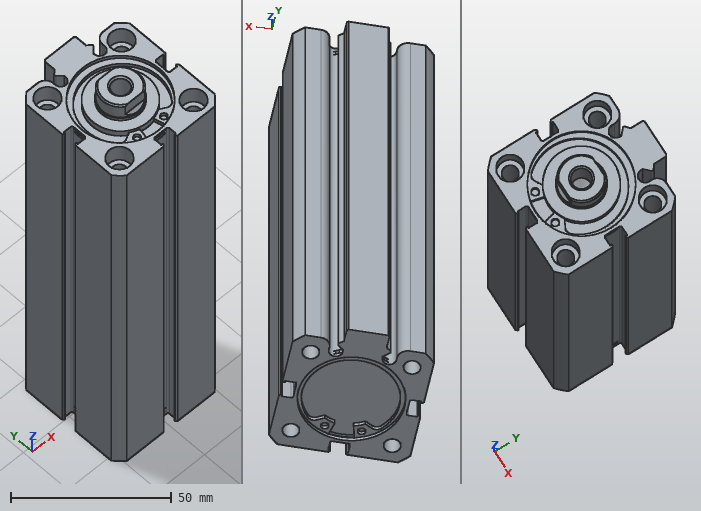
import cadquery as cq
import math

WIDTH = 45.0
HALF = WIDTH / 2
TOTAL_HEIGHT = 158.0
ROD_PROJECTION = 7.0
HOUSING_HEIGHT = TOTAL_HEIGHT - ROD_PROJECTION
CORNER_RADIUS = 29.5
FACE_END = math.sqrt(CORNER_RADIUS**2 - HALF**2)
BORE_RADIUS = 16.9

RAIL_HEIGHT = 4.9
RAIL_TOP = HALF + RAIL_HEIGHT
RAIL_HALF_WIDTH = 6.8
RAIL_EDGE_CHAMFER = 0.5
BARB_HALF_WIDTH = 8.4
BARB_TIP_Y = HALF - 1.6
BARB_TIP_RADIUS = 0.6
NECK_HALF_WIDTH = 6.3
NECK_TOP = HALF - 3.8
GROOVE_BEND_RADIUS = 2.2
GROOVE_BEND_Y = HALF - 4.5
GROOVE_BEND_X = NECK_HALF_WIDTH + GROOVE_BEND_RADIUS
EAR_RADIUS = 3.5
EAR_SIDE = GROOVE_BEND_X + GROOVE_BEND_RADIUS

SLOT_HALF_WIDTH = 3.2
MOUTH_HALF_WIDTH = 2.5
MOUTH_CHAMFER = 0.5
LIP_THICKNESS = 1.0
SLOT_FLOOR = 18.0
SLOT_CORNER_RADIUS = 0.6
SLOT_ANGLES = (-90, 0, 90)

HOLE_PITCH = 32.2
HOLE_RADIUS = 2.7
COUNTERBORE_RADIUS = 4.5
COUNTERBORE_DEPTH = 7.0

RING_DEPTH = 1.5
RING_THICKNESS = 1.5
GROOVE_WEB = 0.2
RING_RADIUS = SLOT_FLOOR - GROOVE_WEB
RING_EYE_RADIUS = 15.5
RING_EYE_OFFSET = 1.0
LUG_CORNER_RADIUS = 2.4
LUG_EDGE_ANGLE = 32
LUG_EDGE_SLOPE = 29
LUG_HOLE_RADIUS = 1.3
LUG_HOLE_X = 5.8
LUG_HOLE_Y = -13.5
GAP_HALF_ANGLE = 14
RING_LEVELS = (RING_DEPTH, HOUSING_HEIGHT - RING_DEPTH - RING_THICKNESS)

COVER_THICKNESS = 15.8
HUB_RADIUS = 12.2
HUB_DEPTH = 0.3
HEAD_COVER_BOTTOM = RING_DEPTH + RING_THICKNESS
HEAD_COVER_TOP = HEAD_COVER_BOTTOM + COVER_THICKNESS
ROD_COVER_TOP = HOUSING_HEIGHT - RING_DEPTH - RING_THICKNESS
ROD_COVER_BOTTOM = ROD_COVER_TOP - COVER_THICKNESS

ROD_RADIUS = 8.0
TIP_RADIUS = 7.7
TIP_LENGTH = 6.0
TIP_CHAMFER = 0.55
FLAT_HALF_WIDTH = 6.5
FLAT_LENGTH = 4.6
THREAD_RADIUS = 3.3
THREAD_MOUTH_RADIUS = 4.0
THREAD_DEPTH = 13.0
DRILL_POINT_LENGTH = 1.9


def cylinder(radius, bottom, top):
    return cq.Workplane("XY").workplane(offset=bottom).circle(radius).extrude(top - bottom)


def housing_outline():
    """Right half of the extrusion outline, from the -Y side around to the rail top."""
    corner_mid = CORNER_RADIUS * math.sqrt(0.5)
    barb_rise = BARB_TIP_RADIUS * math.sqrt(0.5)
    barb_inset = BARB_TIP_RADIUS - barb_rise
    ear_inset = EAR_RADIUS * (1 - math.sqrt(0.5))
    return (
        cq.Workplane("XY")
        .moveTo(0, -HALF)
        .lineTo(FACE_END, -HALF)
        .threePointArc((corner_mid, -corner_mid), (HALF, -FACE_END))
        .lineTo(HALF, FACE_END)
        .threePointArc((corner_mid, corner_mid), (FACE_END, HALF))
        .lineTo(EAR_SIDE + EAR_RADIUS, HALF)
        .threePointArc((EAR_SIDE + ear_inset, HALF - ear_inset), (EAR_SIDE, HALF - EAR_RADIUS))
        .lineTo(EAR_SIDE, GROOVE_BEND_Y)
        .threePointArc(
            (GROOVE_BEND_X, GROOVE_BEND_Y - GROOVE_BEND_RADIUS),
            (NECK_HALF_WIDTH, GROOVE_BEND_Y),
        )
        .lineTo(NECK_HALF_WIDTH, NECK_TOP)
        .lineTo(BARB_HALF_WIDTH - barb_inset, BARB_TIP_Y - barb_rise)
        .threePointArc(
            (BARB_HALF_WIDTH, BARB_TIP_Y),
            (BARB_HALF_WIDTH - barb_inset, BARB_TIP_Y + barb_rise),
        )
        .lineTo(RAIL_HALF_WIDTH, HALF)
        .lineTo(RAIL_HALF_WIDTH, RAIL_TOP - RAIL_EDGE_CHAMFER)
        .lineTo(RAIL_HALF_WIDTH - RAIL_EDGE_CHAMFER, RAIL_TOP)
        .lineTo(0, RAIL_TOP)
        .mirrorY()
    )


def slot_cutter(angle):
    """Full-length slot opening toward -Y, turned about the main axis."""
    lip_inner = -HALF + LIP_THICKNESS
    slot = (
        cq.Workplane("XY")
        .moveTo(0, -HALF)
        .lineTo(MOUTH_HALF_WIDTH + MOUTH_CHAMFER, -HALF)
        .lineTo(MOUTH_HALF_WIDTH, -HALF + MOUTH_CHAMFER)
        .lineTo(MOUTH_HALF_WIDTH, lip_inner)
        .lineTo(SLOT_HALF_WIDTH, lip_inner)
        .lineTo(SLOT_HALF_WIDTH, -SLOT_FLOOR)
        .lineTo(0, -SLOT_FLOOR)
        .mirrorY()
        .extrude(HOUSING_HEIGHT)
        .edges("|Z and >Y")
        .fillet(SLOT_CORNER_RADIUS)
    )
    return slot.rotate((0, 0, 0), (0, 0, 1), angle)


def make_housing():
    housing = housing_outline().extrude(HOUSING_HEIGHT)
    for angle in SLOT_ANGLES:
        housing = housing.cut(slot_cutter(angle))
    housing = housing.cut(cylinder(BORE_RADIUS, 0, HOUSING_HEIGHT))
    for level in RING_LEVELS:
        housing = housing.cut(cylinder(RING_RADIUS, level, level + RING_THICKNESS))
    return (
        housing.faces(">Z")
        .workplane(origin=(0, 0, HOUSING_HEIGHT))
        .rect(HOLE_PITCH, HOLE_PITCH, forConstruction=True)
        .vertices()
        .cboreHole(2 * HOLE_RADIUS, 2 * COUNTERBORE_RADIUS, COUNTERBORE_DEPTH)
    )


def ring_opening():
    """Eye of the ring, closed off at each side by a lug with a rounded inner corner."""
    lug_angle = math.radians(LUG_EDGE_ANGLE)
    slope = math.tan(math.radians(LUG_EDGE_SLOPE))
    lug_x = HUB_RADIUS * math.sin(lug_angle)
    lug_y = -HUB_RADIUS * math.cos(lug_angle)
    outer_y = lug_y - slope * (RING_RADIUS - lug_x)
    above_lugs = (
        cq.Workplane("XY")
        .moveTo(0, RING_RADIUS)
        .lineTo(RING_RADIUS, RING_RADIUS)
        .lineTo(RING_RADIUS, outer_y)
        .lineTo(lug_x, lug_y)
        .lineTo(0, lug_y)
        .mirrorY()
        .extrude(RING_THICKNESS)
    )
    eye = cylinder(RING_EYE_RADIUS, 0, RING_THICKNESS).translate((0, -RING_EYE_OFFSET, 0))
    lug_corners = cq.selectors.BoxSelector(
        (-RING_RADIUS, outer_y, -RING_THICKNESS),
        (RING_RADIUS, lug_y - LUG_HOLE_RADIUS / 2, 2 * RING_THICKNESS),
    )
    opening = eye.intersect(above_lugs).edges("|Z").edges(lug_corners).fillet(LUG_CORNER_RADIUS)
    return opening.union(cylinder(HUB_RADIUS, 0, RING_THICKNESS))


def make_ring(level):
    gap_half_width = RING_RADIUS * math.tan(math.radians(GAP_HALF_ANGLE))
    gap = (
        cq.Workplane("XY")
        .polyline([(0, 0), (-gap_half_width, -RING_RADIUS), (gap_half_width, -RING_RADIUS)])
        .close()
        .extrude(RING_THICKNESS)
    )
    lug_holes = (
        cq.Workplane("XY")
        .pushPoints([(-LUG_HOLE_X, LUG_HOLE_Y), (LUG_HOLE_X, LUG_HOLE_Y)])
        .circle(LUG_HOLE_RADIUS)
        .extrude(RING_THICKNESS)
    )
    ring = cylinder(RING_RADIUS, 0, RING_THICKNESS).cut(ring_opening()).cut(gap).cut(lug_holes)
    return ring.translate((0, 0, level))


def make_rod_cover():
    hub_top = HOUSING_HEIGHT - HUB_DEPTH
    plug = cylinder(BORE_RADIUS, ROD_COVER_BOTTOM, ROD_COVER_TOP)
    hub = cylinder(HUB_RADIUS, ROD_COVER_BOTTOM, hub_top)
    return plug.union(hub).cut(cylinder(ROD_RADIUS, ROD_COVER_BOTTOM, hub_top))


def make_head_cover():
    return cylinder(BORE_RADIUS, HEAD_COVER_BOTTOM, HEAD_COVER_TOP)


def wrench_flat_cutter():
    """Cuts the +Y flat, which runs out through the rod at 45 degrees."""
    flat_bottom = TOTAL_HEIGHT - FLAT_LENGTH
    runout = ROD_RADIUS - FLAT_HALF_WIDTH
    return (
        cq.Workplane("YZ")
        .moveTo(FLAT_HALF_WIDTH, TOTAL_HEIGHT)
        .lineTo(FLAT_HALF_WIDTH, flat_bottom)
        .lineTo(ROD_RADIUS, flat_bottom - runout)
        .lineTo(ROD_RADIUS, TOTAL_HEIGHT)
        .close()
        .extrude(ROD_RADIUS, both=True)
    )


def thread_cutter():
    mouth_depth = THREAD_MOUTH_RADIUS - THREAD_RADIUS
    drill_shoulder = TOTAL_HEIGHT - THREAD_DEPTH
    return (
        cq.Workplane("XZ")
        .moveTo(0, TOTAL_HEIGHT)
        .lineTo(THREAD_MOUTH_RADIUS, TOTAL_HEIGHT)
        .lineTo(THREAD_RADIUS, TOTAL_HEIGHT - mouth_depth)
        .lineTo(THREAD_RADIUS, drill_shoulder)
        .lineTo(0, drill_shoulder - DRILL_POINT_LENGTH)
        .close()
        .revolve(360, (0, 0, 0), (0, 1, 0))
    )


def make_rod():
    tip_bottom = TOTAL_HEIGHT - TIP_LENGTH
    tip = cylinder(TIP_RADIUS, tip_bottom, TOTAL_HEIGHT).faces(">Z").chamfer(TIP_CHAMFER)
    rod = cylinder(ROD_RADIUS, HEAD_COVER_TOP, tip_bottom).union(tip)
    flat = wrench_flat_cutter()
    return rod.cut(flat).cut(flat.mirror("XZ")).cut(thread_cutter())


housing = make_housing()
rod = make_rod()
rod_cover = make_rod_cover()
head_cover = make_head_cover()
rings = [make_ring(level) for level in RING_LEVELS]

result = cq.Compound.makeCompound(
    [
        housing.val(),
        rod.val(),
        rod_cover.val(),
        head_cover.val(),
        *[ring.val() for ring in rings],
    ]
)